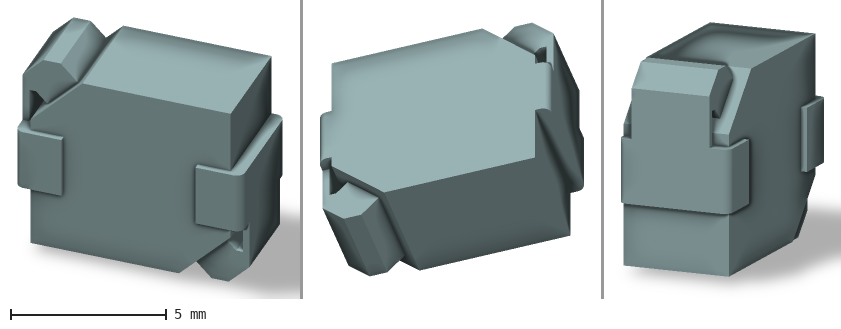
import cadquery as cq

length = 7.8
depth = 3.9
height = 7.0

body_length = 6.87
body_height = 6.48
body_chamfer = 1.78

pad_height = 2.12
pad_thickness = 0.21
pad_length = 1.6
band_radius = 0.29

arm_width = 2.72
arm_thickness = 0.235
hook_chamfer = 0.72
hook_top_end = 1.31
hook_inner_drop = 1.25

back_y = depth / 2
front_y = -depth / 2
body_front_y = front_y + pad_thickness
body_depth = back_y - body_front_y
body_mid_y = (back_y + body_front_y) / 2
left_x = -length / 2
body_left_x = -body_length / 2
top_z = height / 2


def make_body():
    block = cq.Workplane("XY").box(body_length, body_depth, body_height)
    half_length = body_length / 2
    half_height = body_height / 2
    for side in (-1, 1):
        corner = (
            cq.Workplane("XZ")
            .polyline([
                (side * half_length, -side * half_height),
                (side * (half_length - body_chamfer), -side * half_height),
                (side * half_length, -side * (half_height - body_chamfer)),
            ])
            .close()
            .extrude(body_depth / 2, both=True)
        )
        block = block.cut(corner)
    return block.translate((0, body_mid_y, 0))


def make_band():
    """Left end band with rounded outer corners and a solder pad on the -Y face."""
    end_width = body_left_x - left_x
    end_block = (
        cq.Workplane("XY")
        .box(end_width, depth, pad_height)
        .edges("|Z and <X")
        .fillet(band_radius)
        .translate((left_x + end_width / 2, 0, 0))
    )
    pad_inner_x = left_x + pad_length
    pad_size = pad_inner_x - body_left_x
    pad = (
        cq.Workplane("XY")
        .box(pad_size, pad_thickness, pad_height)
        .translate((body_left_x + pad_size / 2, front_y + pad_thickness / 2, 0))
    )
    return end_block.union(pad)


def make_arm():
    """Left arm rising from the band and hooking at 45 degrees into the cut corner."""
    hook_top_x = left_x + hook_top_end
    hook_inner_z = top_z - hook_inner_drop
    hook_reach = body_chamfer / 2
    return (
        cq.Workplane("XZ")
        .polyline([
            (left_x, 0),
            (left_x, top_z - hook_chamfer),
            (left_x + hook_chamfer, top_z),
            (hook_top_x, top_z),
            (hook_top_x + hook_reach, top_z - hook_reach),
            (body_left_x + hook_reach, hook_inner_z - hook_reach),
            (body_left_x, hook_inner_z),
            (left_x + arm_thickness, hook_inner_z),
            (left_x + arm_thickness, 0),
        ])
        .close()
        .extrude(arm_width / 2, both=True)
        .translate((0, body_mid_y, 0))
    )


terminal = make_band().union(make_arm())
result = make_body()
for angle in (0, 180):
    result = result.union(terminal.rotate((0, 0, 0), (0, 1, 0), angle))